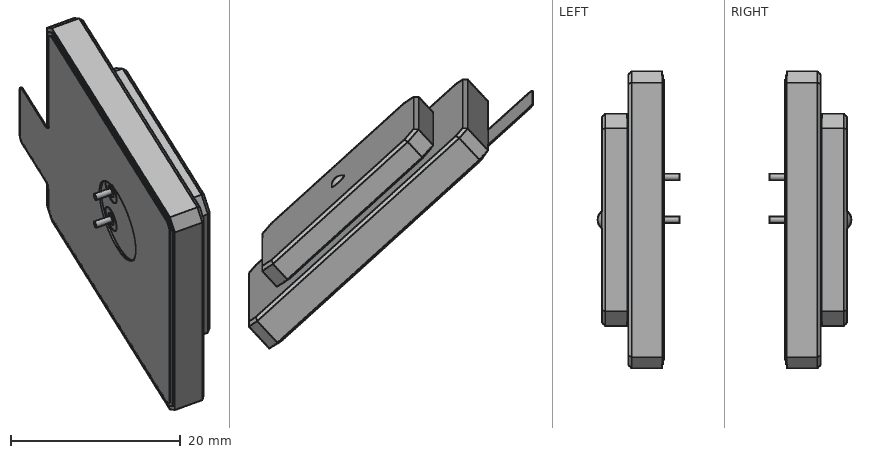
import cadquery as cq
import math


base_side = 35.0
base_depth = 4.0
base_corner = 1.35

top_side = 25.0
top_depth = 3.0
top_corner = 1.7
back_edge_chamfer = 0.4

adhesive_inset = 0.5
adhesive_thickness = 0.13

pad_radius = 0.75
clearance_radius = 1.5
clearance_depth = 0.05

pin_radius = 0.4
pin_tip_y = -2.05
base_pin_z = 5.05
head_radius = 1.0
head_height = 0.5

liner_thickness = 0.13
liner_side = 33.0
liner_corner_radius = 1.0
overall_length = 41.95
tab_tip_x = base_side / 2 - overall_length
tab_width = 9.9
tab_center_z = -6.45
tab_corner_radius = 0.8
window_radius = 5.0
window_x = 2.35
window_z = 2.25

liner_back_y = -adhesive_thickness
liner_front_y = liner_back_y - liner_thickness
top_front_y = base_depth + adhesive_thickness
top_back_y = top_front_y + top_depth


def plane_at(y):
    """Sketch plane at the given Y, with local axes X and Z and extrusion toward -Y."""
    return cq.Workplane("XZ", origin=(0, y, 0))


def cylinder(radius, y_from, y_to, z=0.0):
    """Cylinder along Y, on X = 0 at the given Z."""
    return plane_at(y_to).center(0, z).circle(radius).extrude(y_to - y_from)


def square_patch(side, corner, y_from, y_to):
    """Square block with cut-off corners and a chamfer round its back face."""
    block = plane_at(y_to).rect(side, side).extrude(y_to - y_from)
    return block.edges("|Y").chamfer(corner).faces(">Y").chamfer(back_edge_chamfer)


def adhesive_layer(patch_side, patch_corner, y_back):
    """Thin layer whose outline follows a patch at an even inset."""
    side = patch_side - 2 * adhesive_inset
    corner = patch_corner - adhesive_inset * (2 - math.sqrt(2))
    layer = plane_at(y_back).rect(side, side).extrude(adhesive_thickness)
    return layer.edges("|Y").chamfer(corner)


def pad_clearance(z):
    """Shallow ring cut into the front face of the base patch, leaving a round pad about a pin."""
    ring = plane_at(clearance_depth).center(0, z).circle(clearance_radius).circle(pad_radius)
    return ring.extrude(clearance_depth)


def make_base_patch():
    """Base patch with its own pin and a through hole for the pin of the top patch."""
    patch = square_patch(base_side, base_corner, 0, base_depth)
    for z in (0, base_pin_z):
        patch = patch.cut(pad_clearance(z))
    patch = patch.union(cylinder(pin_radius, pin_tip_y, base_depth, base_pin_z))
    return patch.cut(cylinder(pin_radius, 0, base_depth))


def pin_head():
    """Spherical cap of solder on the back of the top patch."""
    tip_y = top_back_y + head_height
    sphere_y = tip_y - (head_radius ** 2 + head_height ** 2) / (2 * head_height)
    sphere_radius = tip_y - sphere_y
    half_profile = (
        cq.Workplane("XY")
        .moveTo(0, tip_y)
        .lineTo(0, top_back_y)
        .lineTo(head_radius, top_back_y)
        .radiusArc((0, tip_y), -sphere_radius)
        .close()
    )
    return half_profile.revolve(360, (0, 0, 0), (0, 1, 0))


def make_top_patch():
    """Top patch with its adhesive layer and its central pin, which runs forward through the base patch."""
    patch = square_patch(top_side, top_corner, top_front_y, top_back_y)
    patch = patch.union(adhesive_layer(top_side, top_corner, top_front_y))
    patch = patch.union(cylinder(pin_radius, pin_tip_y, top_front_y))
    return patch.union(pin_head())


def liner():
    """Square sheet with a pull tab on the -X side, rounded at its corners and at the tab's root."""
    half = liner_side / 2
    tab_length = -half - tab_tip_x
    square = plane_at(liner_back_y).rect(liner_side, liner_side).extrude(liner_thickness)
    square = square.edges("|Y").fillet(liner_corner_radius)
    tab = plane_at(liner_back_y).center(tab_tip_x + tab_length / 2, tab_center_z)
    tab = tab.rect(tab_length, tab_width).extrude(liner_thickness)
    tab = tab.edges("|Y and <X").fillet(tab_corner_radius)
    sheet = square.union(tab)
    for direction in (-1, 1):
        root_point = (-half, liner_back_y, tab_center_z + direction * tab_width / 2)
        root = cq.selectors.NearestToPointSelector(root_point)
        sheet = sheet.edges("|Y").edges(root).fillet(liner_corner_radius)
    return sheet


def make_mounting_tape():
    """Adhesive layer and liner, with a round window over both pins."""
    tape = adhesive_layer(base_side, base_corner, 0).union(liner())
    window = plane_at(0).center(window_x, window_z).circle(window_radius).extrude(-liner_front_y)
    return tape.cut(window)


base_patch = make_base_patch()
top_patch = make_top_patch()
mounting_tape = make_mounting_tape()

result = cq.Compound.makeCompound([base_patch.val(), top_patch.val(), mounting_tape.val()])